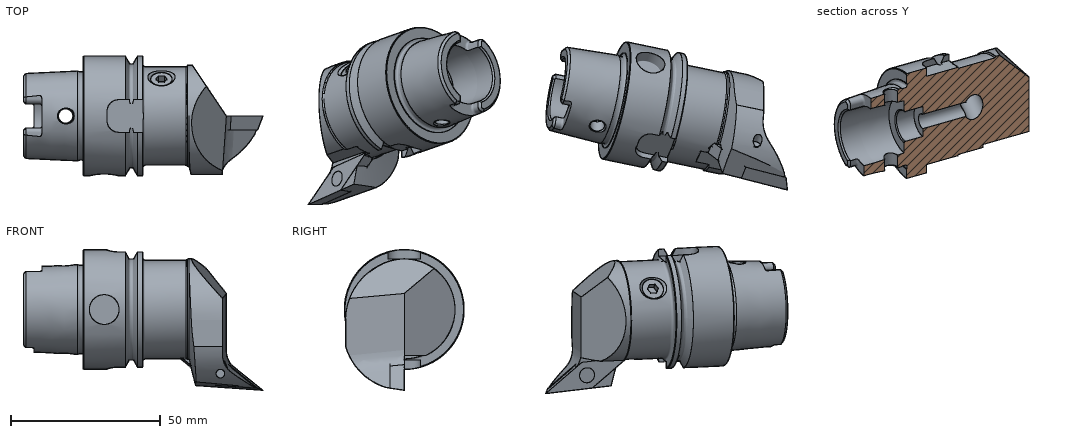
import cadquery as cq
import math


shank_length = 19.9
nose_chamfer = 0.8
taper_root_radius = 15.0
taper_root_x = -1.9
taper_slope = 0.045
neck_radius = 14.8
neck_x = -1.1
neck_fillet = 0.6
face_groove_radius = 16.2
face_groove_depth = 0.2

nose_radius = taper_root_radius - taper_slope * (shank_length + taper_root_x)

bore_radius = 10.4
bore_mouth_chamfer = 0.55
bore_step_x = -12.0
bore_floor_x = -0.8
bore_floor_radius = 9.8
inner_bore_radius = 5.6
inner_bore_chamfer = 0.4
inner_bore_floor_x = 6.4
coolant_radius = 2.6

drive_slot_half_width = 4.0
drive_slot_wall_top = 11.1
drive_slot_round = 1.6
drive_slot_floor_round = 0.7
drive_slot_nose_chamfer = 0.8
upper_drive_slot_length = 6.15
lower_drive_slot_length = 3.5

access_hole_radius = 2.4
access_hole_chamfer = 0.5
access_hole_x = -5.8

flange_radius = 20.01
flange_width = 20.0
flange_chamfer = 0.2
groove_start_x = 14.1
groove_end_x = 18.1
groove_floor_radius = 17.3
groove_fillet = 0.5
groove_flank_run = (flange_radius - groove_floor_radius) * math.tan(math.radians(30))

key_slot_start_x = 8.0
key_slot_half_width = 5.4
key_slot_corner_round = 3.8
key_slot_floor = 16.85

data_hole_x = 7.0
data_hole_radius = 4.95
data_hole_floor = 15.35
data_hole_floor_round = 0.15

body_radius = 16.45
body_fillet = 0.8
head_radius = 16.9
head_start_x = 35.3
head_fillet = 0.4
collar_x = 34.75
head_back_slope = 0.26
head_side_y = -19.6
head_side_top = -3.6
head_side_bottom = -12.3
head_end_x = 47.8
head_end_tilt = math.radians(4)
head_relief_fillet = 8.0
back_cut_start_x = 36.4
bevel_point = (47.9, 0, 5.3)
bevel_normal = (1, -0.16, 0.99)
head_flank_set_back = 0.2
flute_start_x = 30.0
flute_top = -15.35

tip_x = 79.9 - shank_length
tip_z = -26.975
insert_inscribed = 9.2
insert_thickness = 4.7
insert_angle = math.radians(35)
insert_lower_edge = math.radians(4)
insert_clearance = math.radians(7)

insert_screw_radius = 1.4
insert_screw_head_radius = 2.55
insert_screw_head_length = 2.0
insert_screw_length = 12.0

set_screw_x = 26.1
set_screw_turn = 52.0
set_screw_radius = 3.6
set_screw_top = 15.7
set_screw_length = 6.4
set_screw_hole_radius = 4.55
cross_hole_depth = 4.0
set_screw_socket = 3.75
set_screw_socket_depth = 2.4

insert_upper_edge = insert_lower_edge + insert_angle
insert_side = insert_inscribed / math.sin(insert_angle)
half_diagonal = insert_side * math.cos(insert_angle / 2)
bisector = insert_lower_edge + insert_angle / 2
insert_x = tip_x - half_diagonal * math.cos(bisector)
insert_z = tip_z + half_diagonal * math.sin(bisector)


def revolve_about_x(points):
    """Solid of revolution about X from (x, radius) points."""
    return cq.Workplane("XY").polyline(points).close().revolve(360, (0, 0, 0), (1, 0, 0))


def half_space(origin, normal, x_dir):
    """Large block that lies on the normal side of a plane."""
    size = 159.8
    return cq.Workplane(cq.Plane(origin, x_dir, normal)).rect(size, size).extrude(size)


def cylinder_along_y(x, z, radius, y_start, y_end):
    """Cylinder from y_start down to y_end."""
    return cq.Workplane("XZ", origin=(x, y_start, z)).circle(radius).extrude(y_start - y_end)


def circle_at(x, radius):
    """Selector for the circular edge of a given radius about the X axis."""
    margin = 0.1
    reach = radius + margin
    return cq.selectors.BoxSelector(
        (x - margin, -reach, -reach), (x + margin, reach, reach), boundingbox=True
    )


def turned_body():
    """Shank, flange with its gripper groove, and round body."""
    groove_left_x = groove_start_x + groove_flank_run
    groove_right_x = groove_end_x - groove_flank_run
    body = revolve_about_x([
        (-shank_length, 0),
        (-shank_length, nose_radius - nose_chamfer),
        (-shank_length + nose_chamfer, nose_radius),
        (taper_root_x, taper_root_radius),
        (neck_x, neck_radius),
        (face_groove_depth, neck_radius),
        (face_groove_depth, face_groove_radius),
        (0, face_groove_radius),
        (0, flange_radius - flange_chamfer),
        (flange_chamfer, flange_radius),
        (groove_start_x, flange_radius),
        (groove_left_x, groove_floor_radius),
        (groove_right_x, groove_floor_radius),
        (groove_end_x, flange_radius),
        (flange_width - flange_chamfer, flange_radius),
        (flange_width, flange_radius - flange_chamfer),
        (flange_width, body_radius),
        (collar_x, body_radius),
        (collar_x, head_radius),
        (head_start_x, head_radius),
        (head_start_x, 0),
    ])
    body = body.edges(circle_at(face_groove_depth, neck_radius)).fillet(neck_fillet)
    body = body.edges(circle_at(groove_left_x, groove_floor_radius)).fillet(groove_fillet)
    body = body.edges(circle_at(groove_right_x, groove_floor_radius)).fillet(groove_fillet)
    body = body.edges(circle_at(flange_width, body_radius)).fillet(body_fillet)
    return body.edges(circle_at(collar_x, body_radius)).fillet(head_fillet)


def shank_bore():
    """Stepped bore of the shank with the coolant drilling behind it."""
    return revolve_about_x([
        (-shank_length, 0),
        (-shank_length, bore_radius + bore_mouth_chamfer),
        (-shank_length + bore_mouth_chamfer, bore_radius),
        (bore_step_x, bore_radius),
        (bore_floor_x, bore_floor_radius),
        (bore_floor_x, inner_bore_radius + inner_bore_chamfer),
        (bore_floor_x + inner_bore_chamfer, inner_bore_radius),
        (inner_bore_floor_x, inner_bore_radius),
        (inner_bore_floor_x, coolant_radius),
        (set_screw_x, coolant_radius),
        (set_screw_x, 0),
    ])


def drive_slot_profile(x, growth):
    """Drive slot section at x: straight walls that round outwards into flat shelves, offset by growth."""
    wall_y = drive_slot_half_width + growth
    shelf_y = drive_slot_half_width + drive_slot_round
    shelf_z = drive_slot_wall_top + drive_slot_round - growth
    arc_offset = (drive_slot_round - growth) * math.sqrt(0.5)
    arc_y = shelf_y - arc_offset
    arc_z = drive_slot_wall_top + arc_offset
    return (
        cq.Workplane("YZ", origin=(x, 0, 0))
        .moveTo(-wall_y, 0)
        .lineTo(-wall_y, drive_slot_wall_top)
        .threePointArc((-arc_y, arc_z), (-shelf_y, shelf_z))
        .lineTo(-flange_radius, shelf_z)
        .lineTo(-flange_radius, flange_radius)
        .lineTo(flange_radius, flange_radius)
        .lineTo(flange_radius, shelf_z)
        .lineTo(shelf_y, shelf_z)
        .threePointArc((arc_y, arc_z), (wall_y, drive_slot_wall_top))
        .lineTo(wall_y, 0)
        .close()
    )


def drive_slot(length):
    """Cutter for the +Z drive slot, flared at the nose and rounded at its floor."""
    slot = drive_slot_profile(-shank_length, 0).extrude(length)
    slot = slot.faces(">X").edges().fillet(drive_slot_floor_round)
    flare_end = -shank_length + drive_slot_nose_chamfer
    flare = cq.Solid.makeLoft(
        [
            drive_slot_profile(-shank_length, drive_slot_nose_chamfer).val(),
            drive_slot_profile(flare_end, 0).val(),
        ],
        True,
    )
    return slot.union(flare)


def access_hole():
    """Radial hole through both shank walls, countersunk at the outside."""
    surface = taper_root_radius + (access_hole_x - taper_root_x) * taper_slope
    countersink_bottom = surface - access_hole_chamfer
    mouth_radius = access_hole_radius + access_hole_chamfer
    half_profile = [
        (0, 0),
        (access_hole_radius, 0),
        (access_hole_radius, countersink_bottom),
        (mouth_radius, surface),
        (mouth_radius, flange_radius),
        (0, flange_radius),
    ]
    upper = (
        cq.Workplane("XZ", origin=(access_hole_x, 0, 0))
        .polyline(half_profile)
        .close()
        .revolve(360, (0, 0, 0), (0, 1, 0))
    )
    return upper.union(upper.mirror("XY"))


def key_slot():
    """Cutter for the +Z flange slot: open towards +X, rounded at its -X end."""
    length = flange_width + body_fillet - key_slot_start_x
    return (
        cq.Workplane("XY", origin=(key_slot_start_x + length / 2, 0, key_slot_floor))
        .rect(length, 2 * key_slot_half_width)
        .extrude(flange_radius - key_slot_floor + 0.8)
        .edges("|Z and <X")
        .fillet(key_slot_corner_round)
    )


def data_hole():
    """Blind hole for a data chip in the -Y side of the flange."""
    hole = cylinder_along_y(data_hole_x, 0, data_hole_radius, -data_hole_floor, -flange_radius - 0.8)
    return hole.edges(">Y").fillet(data_hole_floor_round)


def head_outline():
    """Eccentric head outline in the YZ plane, extruded along X over the length of the head."""
    upper_rise = head_radius - head_side_top
    upper_center_y = (upper_rise ** 2 - head_side_y ** 2) / (2 * -head_side_y)
    upper_radius = upper_center_y - head_side_y
    middle = math.radians(135)
    upper_mid = (
        upper_center_y + upper_radius * math.cos(middle),
        head_side_top + upper_radius * math.sin(middle),
    )
    lower_drop = head_side_bottom - tip_z
    lower_radius = (head_side_y ** 2 + lower_drop ** 2) / (2 * lower_drop)
    lower_mid = (
        lower_radius * math.cos(math.radians(235)),
        tip_z + lower_radius + lower_radius * math.sin(math.radians(235)),
    )
    return (
        cq.Workplane("YZ", origin=(head_start_x, 0, 0))
        .moveTo(0, head_radius)
        .threePointArc(upper_mid, (head_side_y, head_side_top))
        .lineTo(head_side_y, head_side_bottom)
        .threePointArc(lower_mid, (0, tip_z))
        .lineTo(0, -head_radius)
        .threePointArc((head_radius, 0), (0, head_radius))
        .close()
        .extrude(tip_x - head_start_x)
    )


def head_profile(depth):
    """XZ corner points of the head at a depth behind the cutting face, shrunk by the clearances."""
    clearance = depth * math.tan(insert_clearance)
    end_x = head_end_x - depth * math.tan(head_end_tilt)
    upper_z = tip_z - (head_flank_set_back + clearance) / math.cos(insert_upper_edge)
    lower_z = tip_z + clearance / math.cos(insert_lower_edge)
    upper_slope = math.tan(insert_upper_edge)
    lower_slope = math.tan(insert_lower_edge)
    point_run = (lower_z - upper_z) / (upper_slope - lower_slope)
    return [
        (0, flange_radius),
        (end_x, flange_radius),
        (end_x, upper_z + (tip_x - end_x) * upper_slope),
        (tip_x - point_run, lower_z + point_run * lower_slope),
        (0, lower_z + tip_x * lower_slope),
    ]


def head_front():
    """Tapered block that shapes the front and underside of the head on its -Y side."""
    depth = -head_side_y + 0.8
    block = (
        cq.Workplane("XZ")
        .polyline(head_profile(0))
        .close()
        .workplane(offset=depth)
        .polyline(head_profile(depth))
        .close()
        .loft(ruled=True)
    )
    inner_corner = head_profile(depth / 2)[2]
    near_corner = cq.selectors.NearestToPointSelector((inner_corner[0], -depth / 2, inner_corner[1]))
    return block.edges(near_corner).fillet(head_relief_fillet)


def head():
    """Eccentric cutting head with its conical back and bevelled front."""
    cone_tip_x = head_start_x - head_radius * head_back_slope
    cone_reach = 3 * flange_radius
    back_cone = revolve_about_x([
        (cone_tip_x, 0),
        (cone_tip_x + cone_reach * head_back_slope, cone_reach),
        (tip_x + 0.8, cone_reach),
        (tip_x + 0.8, 0),
    ])
    far_side = cq.Workplane("XY").box(
        2 * tip_x, 2 * flange_radius, 4 * flange_radius, centered=(True, False, True)
    )
    back_run = head_end_x - back_cut_start_x
    back_cut = half_space((head_end_x, 0, 0), (head_radius, back_run, 0), (0, 0, 1))
    far_side = far_side.cut(back_cut)
    bevel = half_space(bevel_point, bevel_normal, (0, 1, 0))
    return head_outline().intersect(back_cone).intersect(head_front().union(far_side)).cut(bevel)


def flute():
    """Clearance above the cutting face, on the +Y side of the insert."""
    return cq.Workplane("XY", origin=(flute_start_x, 0, flute_top)).box(
        tip_x - flute_start_x, flange_radius, flange_radius, centered=(False, False, False)
    ).translate((0, 0, -flange_radius))


def insert_blank():
    """Rhombic insert without its hole; all four flanks lean in by the clearance angle."""
    def corner(along, across):
        x = insert_x + along * math.cos(bisector) + across * math.sin(bisector)
        z = insert_z - along * math.sin(bisector) + across * math.cos(bisector)
        return (x, z)

    half_width = insert_side * math.sin(insert_angle / 2)
    corners = [
        corner(half_diagonal, 0),
        corner(0, half_width),
        corner(-half_diagonal, 0),
        corner(0, -half_width),
    ]
    return (
        cq.Workplane("XZ")
        .polyline(corners)
        .close()
        .extrude(insert_thickness, taper=math.degrees(insert_clearance))
    )


def insert_screw():
    """Countersunk screw that holds the insert."""
    half_profile = [
        (0, 0),
        (insert_screw_head_radius, 0),
        (insert_screw_radius, -insert_screw_head_length),
        (insert_screw_radius, -insert_screw_length),
        (0, -insert_screw_length),
    ]
    return (
        cq.Workplane("XY", origin=(insert_x, 0, insert_z))
        .polyline(half_profile)
        .close()
        .revolve(360, (0, 0, 0), (0, 1, 0))
    )


def set_screw_place(shape):
    """Move a shape built upwards on Z to the inclined axis of the set screw."""
    return shape.rotate((0, 0, 0), (1, 0, 0), -set_screw_turn).translate((set_screw_x, 0, 0))


def set_screw():
    """Headless screw with a hexagon socket."""
    screw = (
        cq.Workplane("XY", origin=(0, 0, set_screw_top - set_screw_length))
        .circle(set_screw_radius)
        .extrude(set_screw_length)
        .faces(">Z")
        .workplane()
        .polygon(6, set_screw_socket)
        .cutBlind(-set_screw_socket_depth)
    )
    return set_screw_place(screw)


def set_screw_hole():
    """Cross hole that feeds the coolant drilling; the set screw closes its conical mouth."""
    mouth_depth = set_screw_hole_radius - set_screw_radius
    half_profile = [
        (0, -cross_hole_depth),
        (set_screw_radius, -cross_hole_depth),
        (set_screw_radius, body_radius - mouth_depth),
        (set_screw_hole_radius, body_radius),
        (set_screw_hole_radius, flange_radius),
        (0, flange_radius),
    ]
    hole = cq.Workplane("XZ").polyline(half_profile).close().revolve(360, (0, 0, 0), (0, 1, 0))
    return set_screw_place(hole)


def holder():
    """One-piece tool holder."""
    upper_drive = drive_slot(upper_drive_slot_length)
    lower_drive = drive_slot(lower_drive_slot_length).mirror("XY")
    screw_bore = cylinder_along_y(insert_x, insert_z, insert_screw_radius, 0, head_side_y)
    shell = turned_body().union(head()).cut(shank_bore())
    for cutter in (
        upper_drive,
        lower_drive,
        access_hole(),
        key_slot(),
        key_slot().mirror("XY"),
        data_hole(),
        flute(),
        insert_blank(),
        screw_bore,
        set_screw_hole(),
    ):
        shell = shell.cut(cutter, clean=False)
    return shell


tool_holder = holder()
cutting_insert = insert_blank().cut(insert_screw())
clamp_screw = insert_screw()
coolant_screw = set_screw()

result = cq.Compound.makeCompound([
    tool_holder.solids().val(),
    cutting_insert.solids().val(),
    clamp_screw.solids().val(),
    coolant_screw.solids().val(),
])